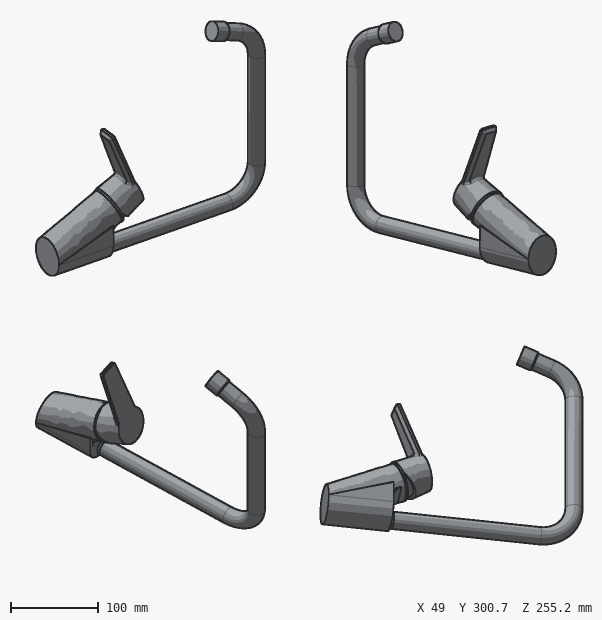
import cadquery as cq
import math


base_radius = 23.2
body_tilt = 25.0
seam_y = 84.2
seam_z = 61.0
seam_half_height = 22.5
dome_length = 12.3
dome_inset = 3.5
collar_half_width = 24.5
collar_thickness = 2.7
foot_length = 75.8
foot_height = 49.0
blend_half_width = 18.0
blend_sections = 7
foot_blend_radius = 16.8

tube_radius = 20.0 / 2
tube_z = 11.5
neck_radius = 9.3
neck_length = 3.3
bend_radius = 40.3
overall_length = 300.7
column_y = overall_length - tube_radius
upper_bend_z = 193.5
outlet_rise = 20.0
outlet_length = 38.0
sleeve_radius = 23.0 / 2
sleeve_length = 18.0
sleeve_chamfer = 1.2

cap_tilt = 21.0
cap_y = 116.5
cap_z = 78.2
cap_top_radius = 22.1
cap_bottom_radius = 24.0
relief_slope = 40.0
relief_size = 60.0
lever_length = 87.2
lever_root_width = 34.5
lever_tip_width = 24.5
lever_thickness = 7.5
lever_corner = 4.2
lever_lower_bevel = 4.0
lever_upper_bevel = 1.0
lever_blend_radius = 3.5
root_search = 2.0


def tilted_plane(y, z, tilt):
    """Plane at (0, y, z) facing +Y raised by tilt; its local Y axis points up and toward -Y."""
    angle = math.radians(tilt)
    return cq.Plane((0, y, z), xDir=(-1, 0, 0), normal=(0, math.cos(angle), math.sin(angle)))


def make_barrel(seam):
    base = cq.Plane((0, 0, base_radius), xDir=(-1, 0, 0), normal=(0, 1, 0))
    base_wire = cq.Workplane(base).ellipse(base_radius, base_radius).wire().val()
    seam_wire = cq.Workplane(seam).ellipse(base_radius, seam_half_height).wire().val()
    return cq.Workplane(cq.Solid.makeLoft([base_wire, seam_wire], True))


def make_foot():
    """Horizontal lower body, with flat sides rising to meet the tilted barrel."""
    base = cq.Plane((0, 0, base_radius), xDir=(-1, 0, 0), normal=(0, 1, 0))
    foot = cq.Workplane(base).circle(base_radius).extrude(foot_length)
    web = (
        cq.Workplane("YZ")
        .polyline([(0, base_radius), (foot_length, base_radius), (foot_length, foot_height)])
        .close()
        .extrude(base_radius, both=True)
    )
    return foot.union(web)


def blend_section(x):
    """Slice at x of the concave blend, shifted up to follow the rounded underside of the barrel."""
    slope = math.radians(body_tilt)
    half_height = seam_half_height * math.sqrt(1 - (x / base_radius) ** 2)
    under_y = seam_y + half_height * math.sin(slope)
    under_z = seam_z - half_height * math.cos(slope)
    corner_z = under_z - (under_y - foot_length) * math.tan(slope)
    mid_angle = (math.pi / 2 - slope) / 2
    reach = foot_blend_radius * math.tan(mid_angle)
    mid_y = foot_length + foot_blend_radius * (1 - math.cos(mid_angle))
    mid_z = corner_z - reach + foot_blend_radius * math.sin(mid_angle)
    tangent_y = foot_length + reach * math.cos(slope)
    tangent_z = corner_z + reach * math.sin(slope)
    return (
        cq.Workplane("YZ", origin=(x, 0, 0))
        .moveTo(foot_length, corner_z - reach)
        .threePointArc((mid_y, mid_z), (tangent_y, tangent_z))
        .lineTo(seam_y, seam_z)
        .lineTo(foot_length, foot_height)
        .close()
        .val()
    )


def make_foot_blend():
    """Concave blend between the tilted barrel and the upright face of the foot."""
    half_steps = blend_sections // 2
    spacing = blend_half_width / half_steps
    sections = [blend_section(step * spacing) for step in range(-half_steps, half_steps + 1)]
    return cq.Workplane(cq.Solid.makeLoft(sections))


def make_dome(seam):
    """Tapered end of the barrel with a thin collar, partly covered by the cap."""
    dome = (
        cq.Workplane(seam)
        .ellipse(base_radius, seam_half_height)
        .workplane(offset=dome_length)
        .ellipse(base_radius - dome_inset, seam_half_height - dome_inset)
        .loft(ruled=True)
    )
    collar = cq.Workplane(seam).ellipse(collar_half_width, seam_half_height).extrude(collar_thickness)
    return dome.union(collar)


def make_cap(seam, top):
    seat = seam.toWorldCoords((0, 0, collar_thickness))
    seat_plane = tilted_plane(seat.y, seat.z, body_tilt)
    seat_wire = cq.Workplane(seat_plane).circle(cap_bottom_radius).wire().val()
    top_wire = cq.Workplane(top).circle(cap_top_radius).wire().val()
    cap = cq.Workplane(cq.Solid.makeLoft([seat_wire, top_wire], True))
    relief = (
        cq.Workplane("XY")
        .box(2 * relief_size, 2 * relief_size, relief_size, centered=(True, True, False))
        .translate((0, 0, -relief_size))
        .rotate((0, 0, 0), (1, 0, 0), -relief_slope)
        .translate((0, seat.y, seat.z))
    )
    return cap.cut(relief)


def make_lever(top):
    lever = (
        cq.Workplane(top)
        .polyline([
            (-lever_root_width / 2, 0),
            (lever_root_width / 2, 0),
            (lever_tip_width / 2, lever_length),
            (-lever_tip_width / 2, lever_length),
        ])
        .close()
        .extrude(-lever_thickness)
    )
    middle = top.toWorldCoords((0, lever_length / 2, 0))
    top_half = cq.selectors.BoxSelector(
        (-lever_root_width, -lever_length, middle.z), (lever_root_width, cap_y, middle.z + lever_length)
    )
    lever = lever.edges(cq.selectors.ParallelDirSelector(top.zDir)).edges(top_half).fillet(lever_corner)
    lever = lever.faces(cq.selectors.DirectionMinMaxSelector(top.zDir, False)).chamfer(lever_lower_bevel)
    return lever.faces(cq.selectors.DirectionMinMaxSelector(top.zDir, True)).chamfer(lever_upper_bevel)


def make_handle(seam, top):
    """Cap and lever in one piece, with a fillet where the lever leaves the side of the cap."""
    handle = make_cap(seam, top).union(make_lever(top))
    root_edges = []
    for edge in handle.edges().vals():
        center = top.toLocalCoords(edge.Center())
        near_rim = abs(math.hypot(center.x, center.y) - cap_top_radius) < root_search
        below_top = -lever_thickness - root_search < center.z < -lever_upper_bevel
        if near_rim and below_top and center.y > 0 and edge.Length() < lever_root_width:
            root_edges.append(edge)
    return handle.newObject(root_edges).fillet(lever_blend_radius)


def make_spout():
    turn = math.radians(90 - outlet_rise)
    half_turn = turn / 2
    lower_start_y = column_y - bend_radius
    diagonal = bend_radius * math.sqrt(0.5)
    bend_end_y = column_y - bend_radius * (1 - math.cos(turn))
    bend_end_z = upper_bend_z + bend_radius * math.sin(turn)
    rise = math.radians(outlet_rise)
    outlet_y = bend_end_y - outlet_length * math.cos(rise)
    outlet_z = bend_end_z + outlet_length * math.sin(rise)
    tube_start_y = foot_length + neck_length
    path = (
        cq.Workplane("YZ")
        .moveTo(tube_start_y, tube_z)
        .lineTo(lower_start_y, tube_z)
        .threePointArc(
            (lower_start_y + diagonal, tube_z + bend_radius - diagonal),
            (column_y, tube_z + bend_radius),
        )
        .lineTo(column_y, upper_bend_z)
        .threePointArc(
            (
                column_y - bend_radius * (1 - math.cos(half_turn)),
                upper_bend_z + bend_radius * math.sin(half_turn),
            ),
            (bend_end_y, bend_end_z),
        )
        .lineTo(outlet_y, outlet_z)
    )
    start = cq.Plane((0, tube_start_y, tube_z), xDir=(-1, 0, 0), normal=(0, 1, 0))
    tube = cq.Workplane(start).circle(tube_radius).sweep(path)
    neck = cq.Workplane(start).circle(neck_radius).extrude(-2 * neck_length)
    outlet = tilted_plane(outlet_y, outlet_z, -outlet_rise)
    sleeve = cq.Workplane(outlet).circle(sleeve_radius).extrude(sleeve_length)
    sleeve = sleeve.faces(">Y").chamfer(sleeve_chamfer)
    return tube.union(neck).union(sleeve)


seam_plane = tilted_plane(seam_y, seam_z, body_tilt)
cap_plane = tilted_plane(cap_y, cap_z, cap_tilt)

result = (
    make_barrel(seam_plane)
    .union(make_foot())
    .union(make_foot_blend())
    .union(make_dome(seam_plane))
    .union(make_handle(seam_plane, cap_plane))
    .union(make_spout())
)